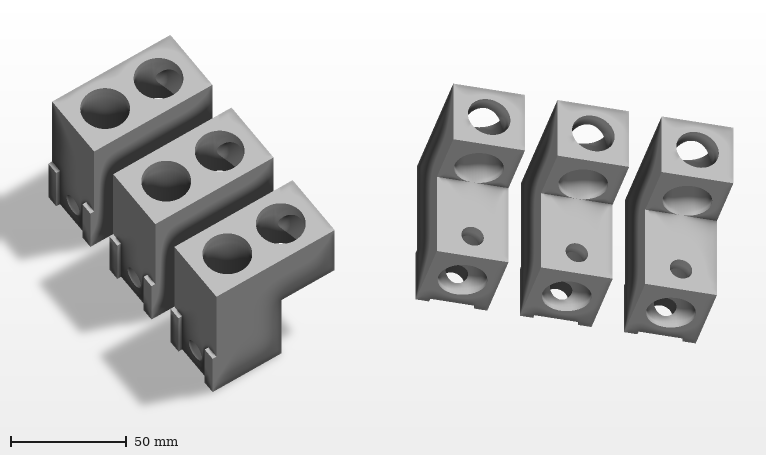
import cadquery as cq

OVERALL_LENGTH = 125.0
BLOCK_COUNT = 3
BLOCK_WIDTH = 32.0
BLOCK_DEPTH = 62.0
BLOCK_HEIGHT = 70.0
LEG_DEPTH = 34.0
ARM_HEIGHT = 30.0

BORE_DIAMETER = 21.5
FRONT_BORE_Y = 16.8
BORE_SPACING = 28.0

BOLT_HOLE_DIAMETER = 10.0
BOLT_HOLE_HEIGHT = 11.0

PORT_DIAMETER = 19.0

PAD_WIDTH = 6.0
PAD_HEIGHT = 25.0
PAD_THICKNESS = 2.0

BLOCK_PITCH = (OVERALL_LENGTH - BLOCK_WIDTH) / (BLOCK_COUNT - 1)
REAR_BORE_Y = FRONT_BORE_Y + BORE_SPACING
ARM_BOTTOM = BLOCK_HEIGHT - ARM_HEIGHT
PORT_HEIGHT = BLOCK_HEIGHT - ARM_HEIGHT / 2
PAD_OFFSET = (BLOCK_WIDTH - PAD_WIDTH) / 2


def make_body():
    """L-shaped block, centred on X, with its front face at Y = 0."""
    profile = [
        (0, 0),
        (LEG_DEPTH, 0),
        (LEG_DEPTH, ARM_BOTTOM),
        (BLOCK_DEPTH, ARM_BOTTOM),
        (BLOCK_DEPTH, BLOCK_HEIGHT),
        (0, BLOCK_HEIGHT),
    ]
    return cq.Workplane("YZ").polyline(profile).close().extrude(BLOCK_WIDTH / 2, both=True)


def make_pads():
    """Two raised pads along the lower side edges of the front face."""
    return (
        cq.Workplane("XZ")
        .pushPoints([(-PAD_OFFSET, PAD_HEIGHT / 2), (PAD_OFFSET, PAD_HEIGHT / 2)])
        .rect(PAD_WIDTH, PAD_HEIGHT)
        .extrude(PAD_THICKNESS)
    )


def make_bores():
    """Two vertical bores, one through the leg and one through the arm."""
    return (
        cq.Workplane("XY")
        .pushPoints([(0, FRONT_BORE_Y), (0, REAR_BORE_Y)])
        .circle(BORE_DIAMETER / 2)
        .extrude(BLOCK_HEIGHT)
    )


def make_horizontal_hole(diameter, height, start_y, end_y):
    """Cylinder along +Y on the middle plane of the block."""
    return (
        cq.Workplane("XZ", origin=(0, start_y, height))
        .circle(diameter / 2)
        .extrude(start_y - end_y)
    )


def make_block():
    bolt_hole = make_horizontal_hole(BOLT_HOLE_DIAMETER, BOLT_HOLE_HEIGHT, 0, LEG_DEPTH)
    port = make_horizontal_hole(PORT_DIAMETER, PORT_HEIGHT, REAR_BORE_Y, BLOCK_DEPTH)
    return make_body().union(make_pads()).cut(make_bores()).cut(bolt_hole).cut(port)


blocks = []
for index in range(BLOCK_COUNT):
    block_x = (index - (BLOCK_COUNT - 1) / 2) * BLOCK_PITCH
    blocks.append(make_block().translate((block_x, 0, 0)).val())

result = cq.Compound.makeCompound(blocks)